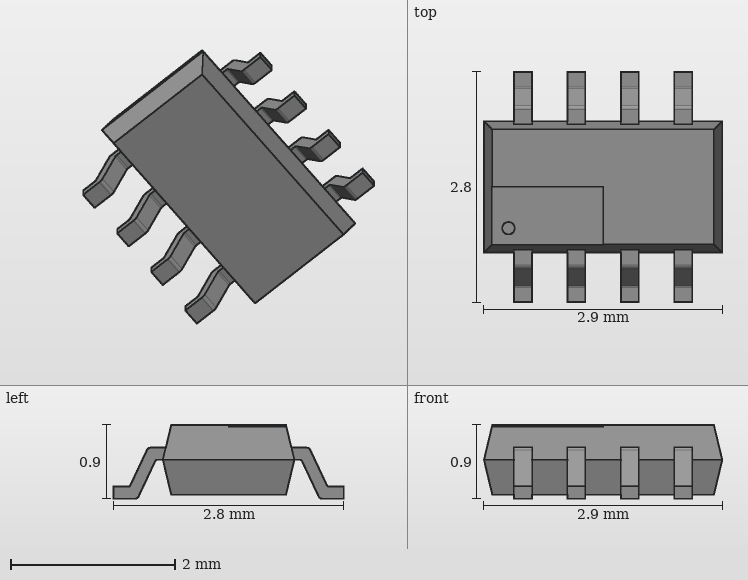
import cadquery as cq
import math

body_length = 2.9
body_width = 1.6
lead_span = 2.8
total_height = 0.9

standoff = 0.05
wall_inset = 0.102
body_height = total_height - standoff
half_height = body_height / 2
parting_height = standoff + half_height

recess_depth = 0.02
mark_diameter = 0.15
mark_inset = 0.3
mark_depth = 0.005

leads_per_side = 4
lead_pitch = 0.65
lead_width = 0.22
lead_thickness = 0.15
foot_length = 0.197
shoulder_reach = 0.98
outer_bend_radius = 0.052
inner_bend_radius = 0.023
root_embedment = 0.203
lead_root = body_width / 2 - root_embedment


def make_body_half(height):
    """Frustum from the parting line to the narrower face at a signed height."""
    return (
        cq.Workplane("XY", origin=(0, 0, parting_height))
        .rect(body_length, body_width)
        .workplane(offset=height)
        .rect(body_length - 2 * wall_inset, body_width - 2 * wall_inset)
        .loft(ruled=True)
    )


def make_recess():
    """Block removing the -X, -Y quarter of the top face."""
    return (
        cq.Workplane("XY", origin=(0, 0, total_height - recess_depth))
        .rect(body_length / 2, body_width / 2, centered=False)
        .extrude(recess_depth)
        .translate((-body_length / 2, -body_width / 2, 0))
    )


def make_pin_mark():
    """Shallow round dimple in the recess floor."""
    mark_x = mark_inset - body_length / 2
    mark_y = mark_inset - body_width / 2
    floor_height = total_height - recess_depth
    return (
        cq.Workplane("XY", origin=(mark_x, mark_y, floor_height - mark_depth))
        .circle(mark_diameter / 2)
        .extrude(mark_depth)
    )


def make_lead():
    """Gull-wing lead of constant thickness, pointing along +Y and centred on X = 0."""
    toe = lead_span / 2
    heel = toe - foot_length
    shoulder_top = parting_height + lead_thickness
    bend_angle = math.atan2(shoulder_top - lead_thickness, heel - shoulder_reach)
    miter = lead_thickness * math.tan(bend_angle / 2)

    shoulder_outer = (shoulder_reach, shoulder_top)
    shoulder_inner = (shoulder_reach - miter, parting_height)
    heel_inner = (heel, lead_thickness)
    heel_outer = (heel - miter, 0)
    profile = [
        (lead_root, shoulder_top),
        shoulder_outer,
        heel_inner,
        (toe, lead_thickness),
        (toe, 0),
        heel_outer,
        shoulder_inner,
        (lead_root, parting_height),
    ]
    lead = cq.Workplane("YZ").polyline(profile).close().extrude(lead_width / 2, both=True)

    bends = [
        (shoulder_outer, outer_bend_radius),
        (heel_outer, outer_bend_radius),
        (shoulder_inner, inner_bend_radius),
        (heel_inner, inner_bend_radius),
    ]
    for (corner_y, corner_z), radius in bends:
        corner_edge = cq.selectors.NearestToPointSelector((0, corner_y, corner_z))
        lead = lead.edges("|X").edges(corner_edge).fillet(radius)
    return lead


body = make_body_half(half_height).union(make_body_half(-half_height))
body = body.cut(make_recess()).cut(make_pin_mark())

lead = make_lead()
opposite_lead = lead.mirror("XZ")
result = body
for index in range(leads_per_side):
    lead_x = (index - (leads_per_side - 1) / 2) * lead_pitch
    result = result.union(lead.translate((lead_x, 0, 0)))
    result = result.union(opposite_lead.translate((lead_x, 0, 0)))